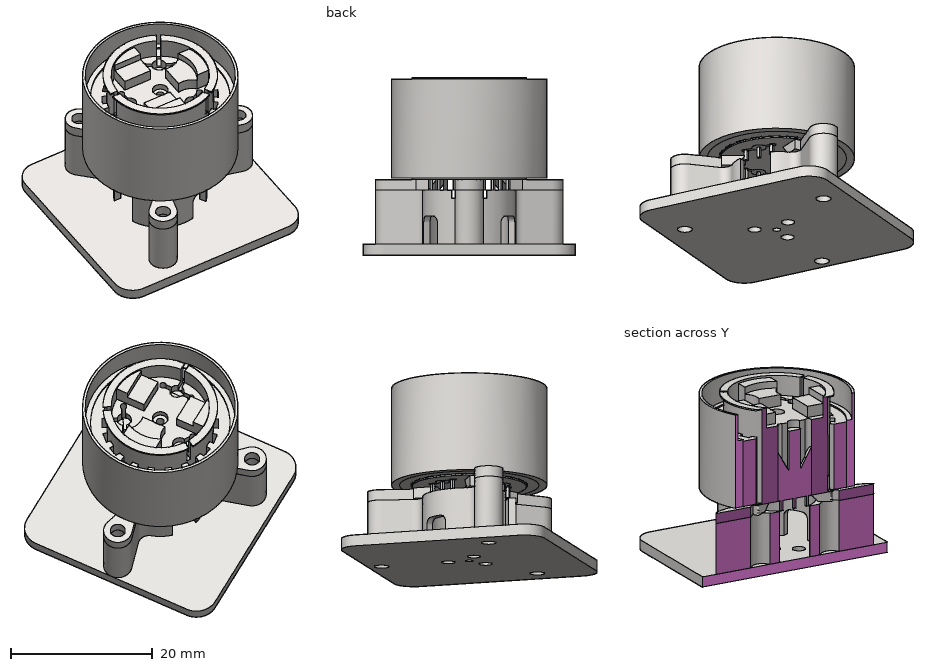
import cadquery as cq
import math

PLATE_TOP = 1.6
NOTCH_FLOOR = 8.1
BASE_TOP = 9.2
EAR_TOP = 10.7
RETAINER_LIP = 0.2
KNOB_BOTTOM = EAR_TOP + RETAINER_LIP
OVERALL_HEIGHT = 25.1
KNOB_TOP = OVERALL_HEIGHT - RETAINER_LIP
LEDGE_TOP = 21.0
HUB_TOP = LEDGE_TOP - 0.2

PLATE_SIZE = 30.0
PLATE_CORNER_RADIUS = 3.0
PIN_ACCESS_DIAMETER = 1.85
PIN_ACCESS_RADIUS = 3.12

EAR_ANGLES = (90, 210, 330)
REAR_CONTACT_ANGLES = (30, 150)
CONTACT_ANGLES = (*REAR_CONTACT_ANGLES, 270)
EAR_DISTANCE = 13.0
EAR_RADIUS = PLATE_SIZE / 2 - EAR_DISTANCE
EAR_HOLE_DIAMETER = 2.1
ARM_TAPER = math.radians(15)

WALL_OUTER_RADIUS = 6.6
WALL_INNER_RADIUS = 5.6
WALL_FILLET = 1.5
FRONT_GAP = 4.9
WINDOW_WIDTH = 3.9
WINDOW_TOP = 5.55
WINDOW_CORNER_RADIUS = 0.95

SPINDLE_RADIUS = 7.5
LIP_RADIUS = 8.1
CUP_RADIUS = 6.93
CUP_FLOOR = OVERALL_HEIGHT - 3.0
BLOCK_TOP = 23.8
RIM_BLOCK_TOP = 24.8
BLOCK_HALF_SPAN = 2.58
RIM_STEP = 5.25
SIDE_BLOCK_LENGTH = 4.3
REAR_BLOCK_FRONT = 1.95
CONTACT_CLEARANCE_RADIUS = 2.7
CENTRE_HOLE_DIAMETER = 1.1
CENTRE_BORE_DIAMETER = 2.2
CENTRE_BORE_DEPTH = 0.9
SLIT_WIDTH = 0.6
SLIT_FLOOR = 21.0
BLOCK_HALF_WIDTH = 1.6
BLOCK_INNER_RADIUS = 5.88
BLOCK_OUTER_RADIUS = 7.8

CONTACT_DISTANCE = 5.1
PIN_DIAMETER = 2.0
PIN_STEP = 0.3
PIN_STEP_OFFSET = 0.12
WING_WIDTH = 0.55
WING_END_DIAMETER = 0.9
WING_END_OFFSET = 2.22
WING_TOP = 18.0
WING_RISE = 4.5
LEG_THICKNESS = 0.42
LEG_OFFSET = 2.07

SLEEVE_DIAMETER = 22.0
SLEEVE_BORE_DIAMETER = 21.2
HUB_DIAMETER = 19.7
HUB_BORE_RADIUS = 7.6
DETENT_COUNT = 20
DETENT_WIDTH = 1.5
DETENT_RADIUS = 8.25


def disc(diameter, bottom, top):
    return cq.Workplane("XY").workplane(offset=bottom).circle(diameter / 2).extrude(top - bottom)


def block(x_min, x_max, y_min, y_max, bottom, top):
    size = (x_max - x_min, y_max - y_min, top - bottom)
    return cq.Workplane("XY").box(*size, centered=False).translate((x_min, y_min, bottom))


def turned(shape, angle):
    """Turn a feature from the +X direction to the given angle about Z."""
    return shape.rotate((0, 0, 0), (0, 0, 1), angle)


def ear_arm(root_radius, bottom, top):
    """Round ear on +X with an arm that tapers towards the axis."""
    tangent_x = EAR_DISTANCE - EAR_RADIUS * math.sin(ARM_TAPER)
    tangent_y = EAR_RADIUS * math.cos(ARM_TAPER)
    root_y = tangent_y - (tangent_x - root_radius) * math.tan(ARM_TAPER)
    outline = (
        cq.Workplane("XY").workplane(offset=bottom)
        .moveTo(root_radius, -root_y)
        .lineTo(tangent_x, -tangent_y)
        .threePointArc((EAR_DISTANCE + EAR_RADIUS, 0), (tangent_x, tangent_y))
        .lineTo(root_radius, root_y)
        .close()
    )
    return outline.extrude(top - bottom)


def drill_ears(body, bottom, top):
    for angle in EAR_ANGLES:
        hole = disc(EAR_HOLE_DIAMETER, bottom, top).translate((EAR_DISTANCE, 0, 0))
        body = body.cut(turned(hole, angle))
    return body


def make_plate():
    half = PLATE_SIZE / 2
    plate = block(-half, half, -half, half, 0, PLATE_TOP).edges("|Z").fillet(PLATE_CORNER_RADIUS)
    plate = drill_ears(plate, 0, PLATE_TOP)
    for angle in EAR_ANGLES:
        hole = disc(PIN_ACCESS_DIAMETER, 0, PLATE_TOP).translate((PIN_ACCESS_RADIUS, 0, 0))
        plate = plate.cut(turned(hole, angle))
    return plate.cut(disc(CENTRE_HOLE_DIAMETER, 0, PLATE_TOP))


def make_base():
    base = disc(2 * WALL_OUTER_RADIUS, PLATE_TOP, BASE_TOP)
    arm_root = WALL_OUTER_RADIUS - 0.3
    for angle in EAR_ANGLES:
        base = base.union(turned(ear_arm(arm_root, PLATE_TOP, BASE_TOP), angle))
    near_wall = cq.selectors.BoxSelector(
        (-WALL_OUTER_RADIUS, -WALL_OUTER_RADIUS, PLATE_TOP - 0.3),
        (WALL_OUTER_RADIUS, WALL_OUTER_RADIUS + 0.3, BASE_TOP + 0.3),
    )
    base = base.edges("|Z").edges(near_wall).fillet(WALL_FILLET)
    base = base.cut(disc(2 * WALL_INNER_RADIUS, PLATE_TOP, BASE_TOP))

    half_gap = FRONT_GAP / 2
    base = base.cut(block(-half_gap, half_gap, -WALL_OUTER_RADIUS - 0.3, 0, PLATE_TOP, BASE_TOP))

    notch = block(-half_gap, half_gap, 0, WALL_OUTER_RADIUS + 0.3, NOTCH_FLOOR, BASE_TOP)
    base = base.cut(notch.intersect(disc(2 * WALL_OUTER_RADIUS, NOTCH_FLOOR, BASE_TOP)))

    for angle in REAR_CONTACT_ANGLES:
        half_window = WINDOW_WIDTH / 2
        window = block(0, WALL_OUTER_RADIUS + 0.3, -half_window, half_window, PLATE_TOP, WINDOW_TOP)
        window = window.edges("|X and >Z").fillet(WINDOW_CORNER_RADIUS)
        base = base.cut(turned(window, angle))
    return drill_ears(base, PLATE_TOP, BASE_TOP)


def spindle_ear():
    """Ear and arm with a wide root that slopes up at 45 degrees under the spindle."""
    ear = ear_arm(BLOCK_OUTER_RADIUS - 0.3, BASE_TOP, EAR_TOP)
    slope_run = EAR_TOP - BASE_TOP
    root = (
        cq.Workplane("XZ")
        .polyline([
            (BLOCK_INNER_RADIUS, BASE_TOP),
            (BLOCK_OUTER_RADIUS, BASE_TOP),
            (BLOCK_OUTER_RADIUS, EAR_TOP),
            (BLOCK_INNER_RADIUS - slope_run, EAR_TOP),
        ])
        .close()
        .extrude(BLOCK_HALF_WIDTH, both=True)
    )
    return ear.union(root)


def wings(bottom, top):
    """Straight tangential bar centred on a contact's axis."""
    return block(-WING_WIDTH / 2, WING_WIDTH / 2, -WING_END_OFFSET, WING_END_OFFSET, bottom, top)


def wing_ends(bottom, top):
    """Round ends of the tangential bar."""
    ends = cq.Workplane("XY").workplane(offset=bottom)
    ends = ends.pushPoints([(0, -WING_END_OFFSET), (0, WING_END_OFFSET)])
    return ends.circle(WING_END_DIAMETER / 2).extrude(top - bottom)


def wing_profile():
    """V-topped envelope that makes both wings rise away from the pin."""
    reach = WING_END_OFFSET + WING_END_DIAMETER / 2
    return (
        cq.Workplane("YZ")
        .polyline([
            (-reach, EAR_TOP),
            (reach, EAR_TOP),
            (reach, WING_TOP),
            (0, WING_TOP - WING_RISE),
            (-reach, WING_TOP),
        ])
        .close()
        .extrude(WING_END_DIAMETER, both=True)
    )


def contact_socket():
    """Pin hole with two wing slots, cut right through the spindle."""
    socket = disc(PIN_DIAMETER, EAR_TOP, OVERALL_HEIGHT)
    socket = socket.union(wings(EAR_TOP, OVERALL_HEIGHT))
    socket = socket.union(wing_ends(EAR_TOP, OVERALL_HEIGHT))
    return socket.translate((CONTACT_DISTANCE, 0, 0))


def cup_blocks():
    """Stepped blocks that stand on the floor of the cup."""
    cup = disc(2 * CUP_RADIUS, CUP_FLOOR, RIM_BLOCK_TOP)
    rear = block(-BLOCK_HALF_SPAN, BLOCK_HALF_SPAN, REAR_BLOCK_FRONT, CUP_RADIUS, CUP_FLOOR, RIM_BLOCK_TOP)
    rear = rear.cut(disc(2 * RIM_STEP, BLOCK_TOP, RIM_BLOCK_TOP))
    for angle in REAR_CONTACT_ANGLES:
        clearance = disc(2 * CONTACT_CLEARANCE_RADIUS, CUP_FLOOR, RIM_BLOCK_TOP)
        rear = rear.cut(turned(clearance.translate((CONTACT_DISTANCE, 0, 0)), angle))
    right = block(BLOCK_HALF_SPAN, RIM_STEP, -SIDE_BLOCK_LENGTH, 0, CUP_FLOOR, BLOCK_TOP)
    right = right.union(block(RIM_STEP, CUP_RADIUS, -SIDE_BLOCK_LENGTH, 0, CUP_FLOOR, RIM_BLOCK_TOP))
    return rear.union(right).union(right.mirror("YZ")).intersect(cup)


def make_spindle():
    spindle = disc(2 * SPINDLE_RADIUS, EAR_TOP, OVERALL_HEIGHT)
    spindle = spindle.union(disc(2 * LIP_RADIUS, EAR_TOP, KNOB_BOTTOM))
    spindle = spindle.union(disc(2 * LIP_RADIUS, KNOB_TOP, OVERALL_HEIGHT))
    spindle = spindle.cut(disc(2 * CUP_RADIUS, CUP_FLOOR, OVERALL_HEIGHT))
    spindle = spindle.union(cup_blocks())
    for angle in EAR_ANGLES:
        spindle = spindle.union(turned(spindle_ear(), angle))
    spindle = drill_ears(spindle, BASE_TOP, EAR_TOP)

    half_slit = SLIT_WIDTH / 2
    slit = block(CONTACT_DISTANCE, LIP_RADIUS + 0.3, -half_slit, half_slit, SLIT_FLOOR, OVERALL_HEIGHT)
    for angle in CONTACT_ANGLES:
        spindle = spindle.cut(turned(contact_socket(), angle))
        spindle = spindle.cut(turned(slit, angle))

    spindle = spindle.cut(disc(CENTRE_HOLE_DIAMETER, EAR_TOP, OVERALL_HEIGHT))
    return spindle.cut(disc(CENTRE_BORE_DIAMETER, CUP_FLOOR - CENTRE_BORE_DEPTH, CUP_FLOOR))


def make_sleeve():
    sleeve = disc(SLEEVE_DIAMETER, KNOB_BOTTOM, KNOB_TOP)
    sleeve = sleeve.cut(disc(HUB_DIAMETER, KNOB_BOTTOM, KNOB_TOP))
    return sleeve.cut(disc(SLEEVE_BORE_DIAMETER, LEDGE_TOP, KNOB_TOP))


def make_hub():
    """Wheel inside the sleeve, with evenly spaced detent notches around its bore."""
    hub = disc(HUB_DIAMETER, KNOB_BOTTOM, HUB_TOP)
    hub = hub.cut(disc(2 * HUB_BORE_RADIUS, KNOB_BOTTOM, HUB_TOP))
    pitch = 360 / DETENT_COUNT
    half = DETENT_WIDTH / 2
    reach = disc(2 * DETENT_RADIUS, KNOB_BOTTOM, HUB_TOP)
    detent = block(0, DETENT_RADIUS + 0.3, -half, half, KNOB_BOTTOM, HUB_TOP).intersect(reach)
    for index in range(DETENT_COUNT):
        hub = hub.cut(turned(detent, (index + 0.5) * pitch))
    return hub


def make_contact(angle):
    """Stepped pin with two wings that fill their slots, and three legs below the spindle."""
    pin = disc(PIN_DIAMETER, EAR_TOP, SLIT_FLOOR)
    radius = PIN_DIAMETER / 2
    pin = pin.cut(block(PIN_STEP_OFFSET, radius, -radius, radius, SLIT_FLOOR - PIN_STEP, SLIT_FLOOR))
    wing_pair = wings(EAR_TOP, WING_TOP).union(wing_ends(EAR_TOP, WING_TOP))
    pin = pin.union(wing_pair.intersect(wing_profile()))
    half = LEG_THICKNESS / 2
    for offset in (-LEG_OFFSET, 0, LEG_OFFSET):
        pin = pin.union(block(-half, half, offset - half, offset + half, BASE_TOP, EAR_TOP))
    return turned(pin.translate((CONTACT_DISTANCE, 0, 0)), angle)


plate = make_plate()
base = make_base()
spindle = make_spindle()
sleeve = make_sleeve()
hub = make_hub()
contacts = [make_contact(angle) for angle in CONTACT_ANGLES]

result = cq.Compound.makeCompound([
    plate.val(),
    base.val(),
    spindle.val(),
    sleeve.val(),
    hub.val(),
    *[contact.val() for contact in contacts],
])